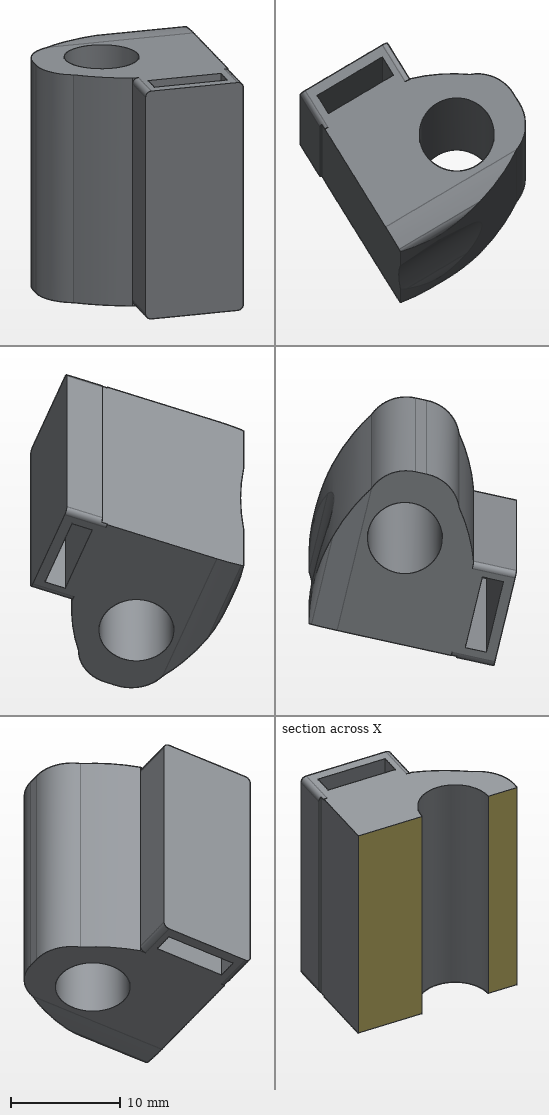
import cadquery as cq

width = 17.78
depth = 16.7
height = 22.0

body_right = 13.75
body_back = 16.49
nose_left = 3.04
nose_right = 11.27
nose_corner_y = 2.47
nose_radius = 3.8
nose_flat_left = 6.6
nose_flat_right = 7.64
cheek_back_x = 0.4
cheek_crest_y = 12.88
flank_middle = (12.65, 4.69)

bore_diameter = 6.85
bore_x = 7.09
bore_y = 6.43

loop_front = 7.35
loop_round = 0.55
loop_rim_left = 14.28
slot_left = 14.83
slot_right = 16.82
slot_front = 8.5
slot_back = 15.45

edge_drop = 0.95
edge_middle_x = 0.22
edge_middle_drop = 0.45
shoulder_x = 0.64
shoulder_drop = 0.15
crown_middle_x = 1.75
crown_middle_drop = 0.05

scoop_bottom = 3.35
scoop_lower_mid = (0.12, 4.27)
scoop_lower_end = (0.29, 5.2)
scoop_deepest = (0.7, 10.78)
scoop_upper_end = (0.4, 15.8)
scoop_upper_mid = (0.18, 17.39)
scoop_top = 19.05

clearance = 1.1


def make_body():
    """Full-height body with an arched left cheek, a blunt nose and a curved right flank."""
    return (
        cq.Workplane("XY")
        .moveTo(body_right, body_back)
        .lineTo(cheek_back_x, body_back)
        .threePointArc((0, cheek_crest_y), (nose_left, nose_corner_y))
        .radiusArc((nose_flat_left, 0), -nose_radius)
        .lineTo(nose_flat_right, 0)
        .radiusArc((nose_right, nose_corner_y), -nose_radius)
        .threePointArc(flank_middle, (body_right, loop_front))
        .close()
        .extrude(height)
    )


def make_edge_cutter():
    """Waste above the rounded upper edge of the cheek, running along Y."""
    return (
        cq.Workplane("XZ")
        .moveTo(0, height - edge_drop)
        .threePointArc(
            (edge_middle_x, height - edge_middle_drop),
            (shoulder_x, height - shoulder_drop),
        )
        .threePointArc((crown_middle_x, height - crown_middle_drop), (nose_left, height))
        .lineTo(nose_left, height + clearance)
        .lineTo(-clearance, height + clearance)
        .lineTo(-clearance, height - edge_drop)
        .close()
        .extrude(-depth)
    )


def make_scoop_cutter():
    """Shallow hollow with blended ends, running along Y."""
    return (
        cq.Workplane("XZ")
        .moveTo(0, scoop_bottom)
        .threePointArc(scoop_lower_mid, scoop_lower_end)
        .threePointArc(scoop_deepest, scoop_upper_end)
        .threePointArc(scoop_upper_mid, (0, scoop_top))
        .lineTo(-clearance, scoop_top)
        .lineTo(-clearance, scoop_bottom)
        .close()
        .extrude(-depth)
    )


def make_box(left, right, front, back):
    """Full-height box between the given X and Y limits."""
    return (
        cq.Workplane("XY")
        .box(right - left, back - front, height, centered=False)
        .translate((left, front, 0))
    )


def make_loop():
    """Strap loop with rounded long edges; its raised back rim stops short of the body."""
    loop = make_box(body_right, width, loop_front, depth).edges("|X").fillet(loop_round)
    return loop.cut(make_box(body_right, loop_rim_left, body_back, depth))


bore = cq.Workplane("XY").center(bore_x, bore_y).circle(bore_diameter / 2).extrude(height)
slot = make_box(slot_left, slot_right, slot_front, slot_back)
upper_edge = make_edge_cutter()
lower_edge = upper_edge.mirror("XY", (0, 0, height / 2))

body = make_body().cut(upper_edge).cut(lower_edge).cut(make_scoop_cutter()).cut(bore)
result = body.union(make_loop()).cut(slot)